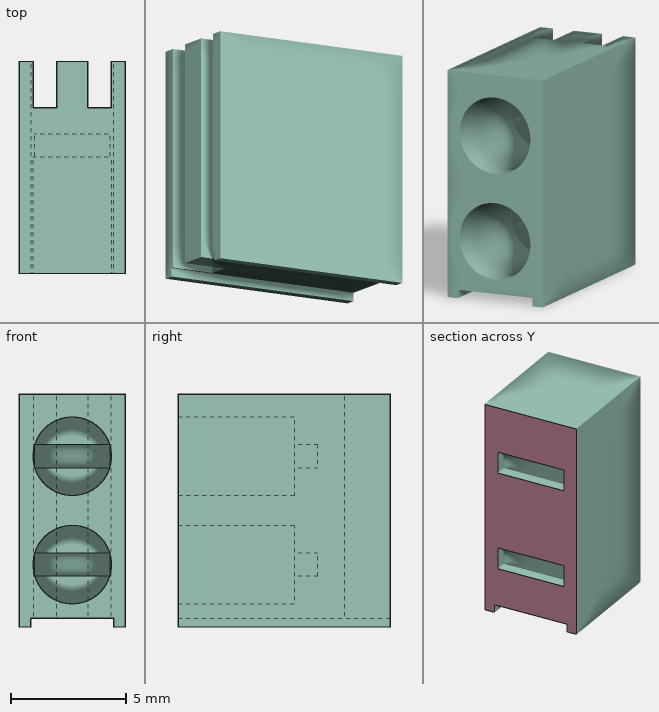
import cadquery as cq

width = 4.6
depth = 9.2
height = 10.1

socket_diameter = 3.4
socket_depth = 5.05
upper_socket_z = height - 2.7
socket_pitch = 4.7
socket_heights = [upper_socket_z, upper_socket_z - socket_pitch]

pocket_width = 3.27
pocket_height = 1.0
pocket_depth = 1.0

slot_width = 1.0
slot_depth = 2.0
side_wall = 0.62
slot_offset = width / 2 - side_wall - slot_width / 2

foot_width = 0.5
foot_height = 0.37

front_y = -depth / 2
rear_y = depth / 2


def box_from(x_size, y_size, z_size, x_center, y_start, z_start):
    """Box centred on x_center, growing rearward and upward from its start position."""
    box = cq.Workplane("XY").box(x_size, y_size, z_size, centered=(True, False, False))
    return box.translate((x_center, y_start, z_start))


def socket(z_center):
    """Cutting shape for a round socket with its floor pocket."""
    bore = (
        cq.Workplane("XZ", origin=(0, front_y, z_center))
        .circle(socket_diameter / 2)
        .extrude(-socket_depth)
    )
    pocket = box_from(
        pocket_width,
        pocket_depth,
        pocket_height,
        0,
        front_y + socket_depth,
        z_center - pocket_height / 2,
    )
    return bore.union(pocket)


body = box_from(width, depth, height, 0, front_y, 0)

for z_center in socket_heights:
    body = body.cut(socket(z_center))

for slot_x in (-slot_offset, slot_offset):
    body = body.cut(box_from(slot_width, slot_depth, height, slot_x, rear_y - slot_depth, 0))

channel_width = width - 2 * foot_width
result = body.cut(box_from(channel_width, depth, foot_height, 0, front_y, 0))